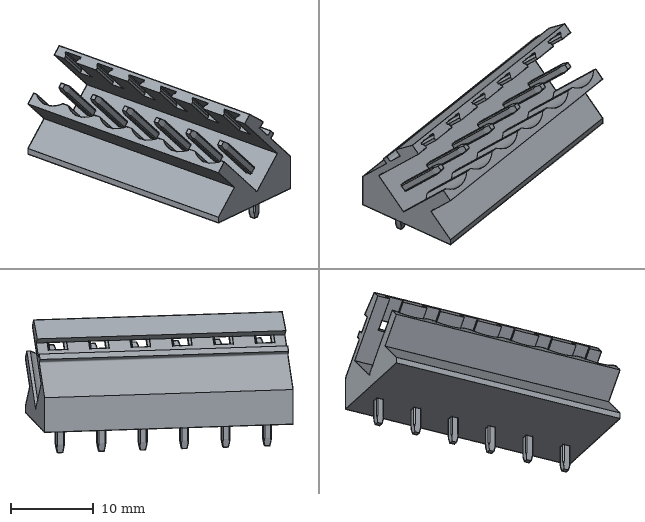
import cadquery as cq
import math

contact_count = 6
row_length = 30.48
pitch = row_length / contact_count
depth = 13.3
total_height = 15.67
back_wall_height = 4.27
front_wall_height = 0.75
centre_x = [(i - (contact_count - 1) / 2) * pitch for i in range(contact_count)]

ROOT2 = math.sqrt(2)
floor_along = 5.6
mouth_along = 14.1

upper_outer = back_wall_height / ROOT2
upper_thickness = 0.85
upper_inner = upper_outer - upper_thickness
rib_start = 8.15
rib_end = 8.93
rib_height = 0.7
rib_fillet = 0.18
barb_start = 11.03
barb_flat = 0.35
barb_height = 0.88
mouth_barb_height = 0.45

lower_outer = mouth_along - depth * ROOT2
lower_thickness = 1.52
lower_inner = lower_outer + lower_thickness
step_along = (depth + front_wall_height) / ROOT2

slot_start = 9.97
slot_width = 1.83
slot_flared_width = 2.38
slot_flare_height = 0.35
slot_flared_depth = 0.18

scallop_radius = 3.1

pin_width = 1.0
pin_chamfer = 0.15
pin_tip_width = 0.6
pin_taper = 1.0
blade_across = -0.88
blade_end = 13.17
leg_from_back = 3.8
top_height = (mouth_along + upper_outer + mouth_barb_height) / ROOT2
leg_length = total_height - top_height


def to_yz(along, across):
    """Y and Z of a point given in the cavity frame."""
    return depth - (along - across) / ROOT2, (along + across) / ROOT2


def cavity_plane(along):
    """Plane square to the cavity direction: local x is X, local y is across."""
    y, z = to_yz(along, 0)
    return cq.Plane(origin=(0, y, z), xDir=(1, 0, 0), normal=(0, -1, 1))


def make_body():
    """Side profile of the housing, extruded over the whole row."""
    rib_top = upper_outer + rib_height
    barb_top = upper_outer + barb_height
    fillet_mid = rib_fillet * (1 - 1 / ROOT2)
    return (
        cq.Workplane("YZ", origin=(-row_length / 2, 0, 0))
        .moveTo(0, 0)
        .lineTo(depth, 0)
        .lineTo(depth, back_wall_height)
        .lineTo(*to_yz(rib_start - rib_fillet, upper_outer))
        .threePointArc(
            to_yz(rib_start - fillet_mid, upper_outer + fillet_mid),
            to_yz(rib_start, upper_outer + rib_fillet),
        )
        .lineTo(*to_yz(rib_start, rib_top))
        .lineTo(*to_yz(rib_end, rib_top))
        .lineTo(*to_yz(rib_end, upper_outer + rib_fillet))
        .threePointArc(
            to_yz(rib_end + fillet_mid, upper_outer + fillet_mid),
            to_yz(rib_end + rib_fillet, upper_outer),
        )
        .lineTo(*to_yz(barb_start, upper_outer))
        .lineTo(*to_yz(barb_start, barb_top))
        .lineTo(*to_yz(barb_start + barb_flat, barb_top))
        .lineTo(*to_yz(mouth_along, upper_outer + mouth_barb_height))
        .lineTo(*to_yz(mouth_along, upper_inner))
        .lineTo(*to_yz(floor_along, upper_inner))
        .lineTo(*to_yz(floor_along, lower_inner))
        .lineTo(*to_yz(mouth_along, lower_inner))
        .lineTo(*to_yz(mouth_along, lower_outer))
        .lineTo(*to_yz(step_along, lower_outer))
        .lineTo(0, front_wall_height)
        .close()
        .extrude(row_length)
    )


def make_slot(x):
    """Slot that widens towards the outer side of the upper arm and runs out of the mouth."""
    half = slot_width / 2
    flared_half = slot_flared_width / 2
    flare_end = upper_outer - slot_flared_depth
    flare_start = flare_end - slot_flare_height
    return (
        cq.Workplane(cavity_plane(slot_start))
        .polyline([
            (x - half, upper_inner),
            (x + half, upper_inner),
            (x + half, flare_start),
            (x + flared_half, flare_end),
            (x + flared_half, upper_outer),
            (x - flared_half, upper_outer),
            (x - flared_half, flare_end),
            (x - half, flare_start),
        ])
        .close()
        .extrude(mouth_along - slot_start)
    )


def make_scallop(x):
    """Round trough in the lower arm, concentric with the blade and running from floor to mouth."""
    half_width = math.sqrt(scallop_radius**2 - (blade_across - lower_inner)**2)
    return (
        cq.Workplane(cavity_plane(floor_along))
        .moveTo(x - half_width, lower_inner)
        .threePointArc((x, blade_across - scallop_radius), (x + half_width, lower_inner))
        .close()
        .extrude(mouth_along - floor_along)
    )


def pin_section(plane):
    """Square section with chamfered corners."""
    half = pin_width / 2
    flat = half - pin_chamfer
    return (
        cq.Workplane(plane)
        .polyline([
            (flat, -half), (half, -flat), (half, flat), (flat, half),
            (-flat, half), (-half, flat), (-half, -flat), (-flat, -half),
        ])
        .close()
    )


def make_pin_tip(plane):
    """Pin end that tapers on all four sides."""
    taper = (
        cq.Workplane(plane)
        .rect(pin_width, pin_width)
        .workplane(offset=pin_taper)
        .rect(pin_tip_width, pin_tip_width)
        .loft()
    )
    return pin_section(plane).extrude(pin_taper).intersect(taper)


def make_pin(x):
    """Bent contact: leg up through the underside, then the blade out through the cavity floor."""
    leg_y = depth - leg_from_back
    leg_tip_z = pin_taper - leg_length
    bend_z = leg_from_back + blade_across * ROOT2
    blade_tip_y, blade_tip_z = to_yz(blade_end - pin_taper, blade_across)

    path = cq.Workplane("YZ", origin=(x, 0, 0)).polyline([
        (leg_y, leg_tip_z),
        (leg_y, bend_z),
        (blade_tip_y, blade_tip_z),
    ])
    leg_start = cq.Plane(origin=(x, leg_y, leg_tip_z), xDir=(1, 0, 0), normal=(0, 0, 1))
    leg_tip = cq.Plane(origin=(x, leg_y, leg_tip_z), xDir=(1, 0, 0), normal=(0, 0, -1))
    blade_tip = cq.Plane(origin=(x, blade_tip_y, blade_tip_z), xDir=(1, 0, 0), normal=(0, -1, 1))
    shank = pin_section(leg_start).sweep(path, transition="right")
    return shank.union(make_pin_tip(leg_tip)).union(make_pin_tip(blade_tip))


pins = [make_pin(x) for x in centre_x]

housing = make_body()
for x in centre_x:
    housing = housing.cut(make_slot(x)).cut(make_scallop(x))
for pin in pins:
    housing = housing.cut(pin)

result = cq.Compound.makeCompound([housing.solids().val(), *[pin.solids().val() for pin in pins]])